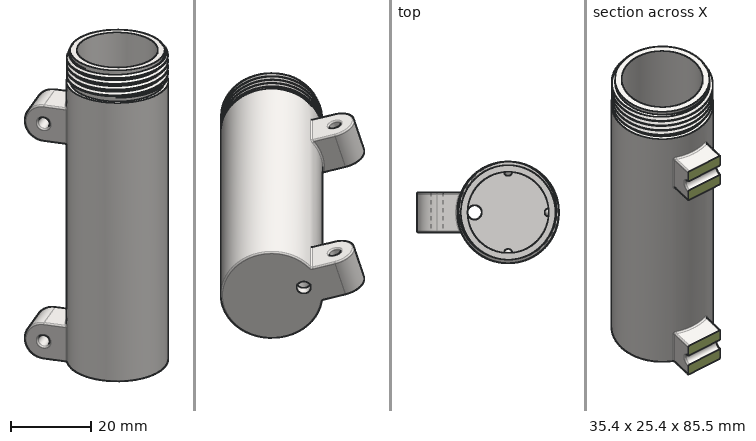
import cadquery as cq
import math

total_height = 85.5
overall_width = 35.4
body_diameter = 25.4
bore_diameter = 20.2
body_height = 76.95
edge_radius = 0.4

body_radius = body_diameter / 2
bore_radius = bore_diameter / 2
floor_thickness = body_radius - bore_radius

neck_diameter = 23.5
thread_diameter = 25.2
thread_turns = 4.1
thread_crest_width = 0.25
thread_flank_angle = 30.0
thread_margin = 1.0
thread_root_overlap = 0.1
helix_start = 76.1

neck_radius = neck_diameter / 2
thread_radius = thread_diameter / 2
thread_bottom = body_height + thread_margin
thread_top = total_height - thread_margin
thread_pitch = (thread_top - thread_bottom) / thread_turns

lug_size = 10.0
lug_hole_diameter = 3.0
lug_spacing = 60.0

lug_radius = lug_size / 2
lug_centre_x = body_radius - overall_width + lug_radius
lug_heights = [lug_radius, lug_radius + lug_spacing]

floor_hole_diameter = 3.5
floor_hole_x = floor_hole_diameter / 2 - bore_radius
bump_radius = 1.0
bump_height = 1.7
bump_angles = [-90, 0, 90]


def cylinder(diameter, bottom, top):
    return cq.Workplane("XY").workplane(offset=bottom).circle(diameter / 2).extrude(top - bottom)


def make_lug(height):
    """Round-ended block reaching from the tube axis to the -X side, with its pin hole along Y."""
    lug_plane = cq.Workplane("XZ").center(lug_centre_x, height)
    block = (
        lug_plane
        .moveTo(-lug_centre_x, -lug_radius)
        .lineTo(0, -lug_radius)
        .threePointArc((-lug_radius, 0), (0, lug_radius))
        .lineTo(-lug_centre_x, lug_radius)
        .close()
        .extrude(lug_size / 2, both=True)
    )
    pin_hole = lug_plane.circle(lug_hole_diameter / 2).extrude(lug_size, both=True)
    return block.cut(pin_hole)


def make_shell():
    """Solid tube body with its lugs, rounded along every edge except the rim under the neck."""
    shell = cylinder(body_diameter, 0, body_height)
    for height in lug_heights:
        shell = shell.union(make_lug(height))
    return shell.edges("not (|Y or >Z or >X)").fillet(edge_radius)


def make_thread():
    """Right-handed V thread, cut off square at both ends."""
    root_radius = neck_radius - thread_root_overlap
    half_crest = thread_crest_width / 2
    flank_width = (thread_radius - root_radius) * math.tan(math.radians(thread_flank_angle))
    half_root = half_crest + flank_width
    helix_height = thread_top + thread_pitch - helix_start
    helix = cq.Wire.makeHelix(thread_pitch, helix_height, root_radius)
    ridge = (
        cq.Workplane("XZ")
        .polyline([
            (root_radius, -half_root),
            (thread_radius, -half_crest),
            (thread_radius, half_crest),
            (root_radius, half_root),
        ])
        .close()
        .sweep(cq.Workplane(helix), isFrenet=True)
        .translate((0, 0, helix_start))
    )
    return ridge.intersect(cylinder(body_diameter, thread_bottom, thread_top))


def make_bump(angle):
    """Ball centred on the bore wall just above the floor; half of it stands inside the bore."""
    ball = cq.Workplane("XY").sphere(bump_radius)
    ball = ball.translate((bore_radius, 0, floor_thickness + bump_height))
    return ball.rotate((0, 0, 0), (0, 0, 1), angle)


neck = cylinder(neck_diameter, body_height, total_height).union(make_thread())
bore = cylinder(bore_diameter, floor_thickness, total_height)
floor_hole = cylinder(floor_hole_diameter, 0, floor_thickness).translate((floor_hole_x, 0, 0))

result = make_shell().union(neck).cut(bore).cut(floor_hole)
for bump_angle in bump_angles:
    result = result.union(make_bump(bump_angle))